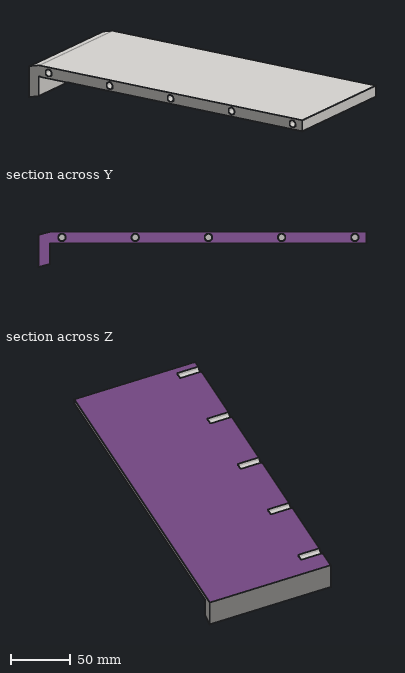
import cadquery as cq
import math

length = 276.0
width = 112.0
height = 30.0

thickness = 10.0
slope_angle = 15.0
slope_drop = thickness * math.tan(math.radians(slope_angle))

hole_diameter = 6.0
hole_depth = 20.0
hole_count = 5
first_hole_x = 20.0
last_hole_x = length - thickness
hole_pitch = (last_hole_x - first_hole_x) / (hole_count - 1)
hole_z = height - thickness / 2


def make_panel():
    """Flat plate with a downturned lip; the lip has sloped top and bottom ends."""
    outline = [
        (0, 0),
        (thickness, slope_drop),
        (thickness, height - thickness),
        (length, height - thickness),
        (length, height),
        (thickness, height),
        (0, height - slope_drop),
    ]
    return cq.Workplane("XZ").polyline(outline).close().extrude(-width)


def make_edge_holes():
    """Cylinders running into the plate from its front edge."""
    centers = [(first_hole_x + i * hole_pitch, hole_z) for i in range(hole_count)]
    return cq.Workplane("XZ").pushPoints(centers).circle(hole_diameter / 2).extrude(-hole_depth)


result = make_panel().cut(make_edge_holes())